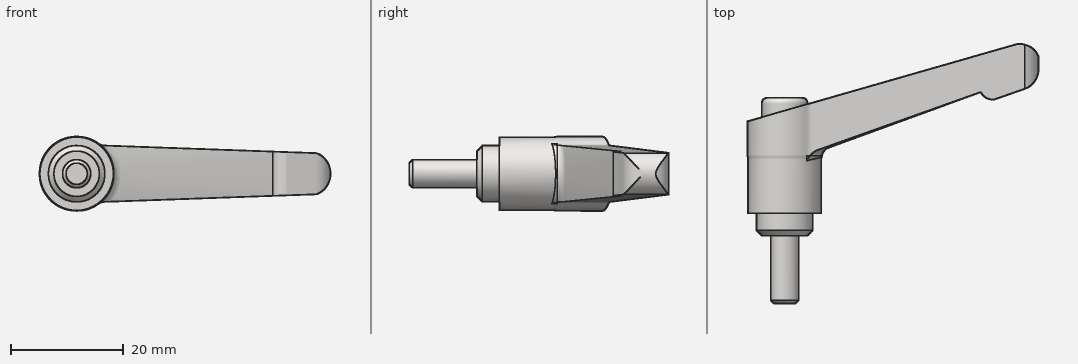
import cadquery as cq
import math


stem_diameter = 5.0
stem_radius = stem_diameter / 2
stem_chamfer = 0.6
collar_radius = 5.0
collar_chamfer = 1.0
collar_bottom = 12.0
hub_bottom = 16.0
hub_radius = 6.6
lower_hub_radius = 6.5
step_bottom = 25.7
step_top = 26.2

button_radius = 4.1
button_top = 36.5
button_round = 1.0

arm_rise = math.tan(math.radians(16))
hub_left_top = 32.3
top_end_x = 41.2
top_round_mid = (41.85, 46.05)
tip_x = 51.6 - hub_radius
tip_upper_y = 43.7
tip_lower_y = 41.3
upper_corner_mid = (44.4, 44.8)
lower_corner_mid = (44.3, 39.4)
tip_start_x = 42.5
tip_top_y = 45.85
tip_bottom_y = 38.05
grip_end = (37.2, 36.15)
grip_mid = (35.7, 36.45)
notch = (34.75, 37.45)
root_underside_y = 24.75
underside_rise = (notch[1] - root_underside_y) / notch[0]
root_crown = 0.4
notch_crown = 0.05

root_width = 10.35
root_half_width = root_width / 2
tip_half_width = 3.65

joint_tolerance = 0.005
blend_radius = 1.75

clearance = 10.3
roof_y = tip_top_y + clearance


def top_y(x):
    """Height of the sloping top plane shared by the hub and the arm."""
    return hub_left_top + arm_rise * (x + hub_radius)


def underside_y(x):
    """Height of the arm underside along its middle."""
    return root_underside_y + underside_rise * x


def cylinder(radius, bottom, top):
    """Cylinder along the stem axis."""
    return cq.Workplane("XZ", origin=(0, bottom, 0)).circle(radius).extrude(bottom - top)


def crown_section(x, crown):
    """Closed section across the arm, its lower edge raised by the crown at both sides."""
    middle = underside_y(x)
    edge = middle + crown
    return (
        cq.Workplane("YZ", origin=(x, 0, 0))
        .moveTo(edge, -root_half_width)
        .threePointArc((middle, 0), (edge, root_half_width))
        .lineTo(roof_y, root_half_width)
        .lineTo(roof_y, -root_half_width)
        .close()
        .val()
    )


def make_crown():
    """Body whose underside crown fades from the arm root to the finger grip."""
    sections = [crown_section(0, root_crown), crown_section(notch[0], notch_crown)]
    return cq.Workplane("XY").newObject([cq.Solid.makeLoft(sections, True)])


def make_arm():
    """Tapered arm with a crowned underside, a finger grip and a rounded tip."""
    side = (
        cq.Workplane("XY", origin=(0, 0, -hub_radius))
        .moveTo(0, top_y(0))
        .lineTo(top_end_x, top_y(top_end_x))
        .threePointArc(top_round_mid, (tip_start_x, tip_top_y))
        .threePointArc(upper_corner_mid, (tip_x, tip_upper_y))
        .lineTo(tip_x, tip_lower_y)
        .threePointArc(lower_corner_mid, (tip_start_x, tip_bottom_y))
        .lineTo(*grip_end)
        .threePointArc(grip_mid, notch)
        .lineTo(0, root_underside_y)
        .close()
        .extrude(2 * hub_radius)
    )

    plan = (
        cq.Workplane("XZ")
        .moveTo(0, -root_half_width)
        .lineTo(tip_start_x, -tip_half_width)
        .threePointArc((tip_x, 0), (tip_start_x, tip_half_width))
        .lineTo(0, root_half_width)
        .close()
        .extrude(-roof_y)
    )
    arm = side.intersect(plan)
    grip = arm.intersect(
        cq.Workplane("XY")
        .box(tip_x, 2 * roof_y, 2 * hub_radius)
        .translate((notch[0] + tip_x / 2, 0, 0))
    )
    return arm.intersect(make_crown()).union(grip)


def make_hub():
    """Hub cylinder cut off by the sloping top plane."""
    waste = (
        cq.Workplane("XY", origin=(0, 0, -hub_radius))
        .polyline([
            (-clearance, top_y(-clearance)),
            (clearance, top_y(clearance)),
            (clearance, top_y(clearance) + clearance),
            (-clearance, top_y(clearance) + clearance),
        ])
        .close()
        .extrude(2 * hub_radius)
    )
    return cylinder(hub_radius, hub_bottom, button_top).cut(waste)


def blend_arm(body):
    """Round the joint between the arm and the hub."""
    def on_joint(edge):
        middle = edge.positionAt(0.5)
        on_hub = abs(math.hypot(middle.x, middle.z) - hub_radius) < joint_tolerance
        on_rim = edge.geomType() == "ELLIPSE"
        return on_hub and not on_rim and middle.x > 0 and edge.BoundingBox().ymin > step_top

    joint = [edge for edge in body.edges().vals() if on_joint(edge)]
    return body.newObject(joint).fillet(blend_radius)


def make_step():
    """Ring removed to narrow the lower hub, with a conical shoulder."""
    return (
        cq.Workplane("XY")
        .polyline([
            (lower_hub_radius, hub_bottom),
            (hub_radius, hub_bottom),
            (hub_radius, step_top),
            (lower_hub_radius, step_bottom),
        ])
        .close()
        .revolve(360, (0, 0, 0), (0, 1, 0))
    )


stem = cylinder(stem_radius, 0, collar_bottom).faces("<Y").chamfer(stem_chamfer)
collar = cylinder(collar_radius, collar_bottom, hub_bottom).faces("<Y").chamfer(collar_chamfer)
button = cylinder(button_radius, hub_bottom, button_top).faces(">Y").edges().fillet(button_round)

handle = blend_arm(make_hub().union(make_arm())).cut(make_step())
result = handle.union(button).union(collar).union(stem)